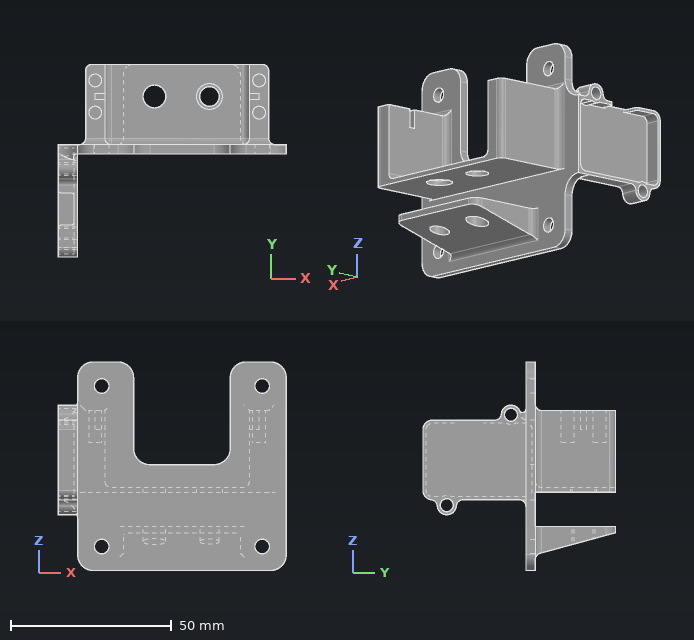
import cadquery as cq
import math


OVERALL_WIDTH = 71.0

PLATE_SIDE = 65.0
PLATE_THICKNESS = 3.0
PLATE_CORNER_RADIUS = 5.0
PLATE_HOLE_DIAMETER = 4.5
PLATE_HOLE_INSET = 7.5
SLOT_WIDTH = 29.95
SLOT_BOTTOM = 33.0

BRACKET_LEFT = 2.5
BRACKET_WIDTH = 57.0
BRACKET_DEPTH = 25.0
BRACKET_FILLET = 2.0
CRADLE_BOTTOM = 24.35
CRADLE_TOP = 49.85
CRADLE_WALL = 6.0
CRADLE_FLOOR = 1.5
CRADLE_CORNER_RADIUS = 2.0
SHELF_WIDTH = 36.35
SHELF_TOP = 13.8
SHELF_TIP_HEIGHT = 2.0
SHELF_ROOT_HEIGHT = 8.8
SHELF_CORNER_RADIUS = 3.0

PASSAGE_Y = 15.0
LEFT_PASSAGE_X = 23.9
LEFT_PASSAGE_DIAMETER = 7.0
RIGHT_PASSAGE_X = 41.05
CRADLE_PASSAGE_DIAMETER = 8.0
SHELF_PASSAGE_DIAMETER = 6.0
PILOT_DIAMETER = 4.0
PILOT_DEPTH = 10.0
PILOT_SPACING = 10.0
GROOVE_WIDTH = 2.0
GROOVE_DEPTH = 5.95

BOX_WIDTH = OVERALL_WIDTH - PLATE_SIDE
BOX_REACH = 35.0
BOX_BOTTOM = 22.0
BOX_HEIGHT = 24.85
BOX_CORNER_RADIUS = 3.0
BOX_WALL = 1.0
POCKET_DEPTH = 5.0
POCKET_CORNER_RADIUS = BOX_CORNER_RADIUS - BOX_WALL
WEB_RADIUS = 6.0
EAR_DIAMETER = 6.0
EAR_HOLE_DIAMETER = 4.0
EAR_OFFSET = 1.6
EAR_FILLET = 2.0
VALLEY_RADIUS = 1.0
UPPER_EAR_Y = -7.6
LOWER_EAR_Y = -27.55
NOTCH_CENTER_Y = -20.0
NOTCH_WIDTH = 10.0
NOTCH_CORNER_RADIUS = 1.0

SLOT_LEFT = (PLATE_SIDE - SLOT_WIDTH) / 2
BOX_TOP = BOX_BOTTOM + BOX_HEIGHT
UPPER_EAR = (UPPER_EAR_Y, BOX_TOP + EAR_OFFSET)
LOWER_EAR = (LOWER_EAR_Y, BOX_BOTTOM - EAR_OFFSET)
BRACKET_RIGHT = BRACKET_LEFT + BRACKET_WIDTH
BRACKET_CENTER_X = BRACKET_LEFT + BRACKET_WIDTH / 2


def block(x_range, y_range, z_range):
    """Box filling the given X, Y and Z ranges."""
    sizes = [high - low for low, high in (x_range, y_range, z_range)]
    corner = (x_range[0], y_range[0], z_range[0])
    return cq.Workplane("XY").box(*sizes, centered=False).translate(corner)


def vertical_hole(x, y, diameter, top, depth):
    """Cylinder that drills down from the height `top`."""
    return cq.Workplane("XY", origin=(x, y, top)).circle(diameter / 2).extrude(-depth)


def across_x(x_start):
    """Sketch plane facing +X, whose sketch axes are Y and Z."""
    return cq.Workplane("YZ", origin=(x_start, 0, 0))


def cylinder_along_x(center, radius):
    """Cylinder over the box width around a (Y, Z) point."""
    return across_x(-BOX_WIDTH).center(*center).circle(radius).extrude(BOX_WIDTH)


def prism_along_x(points):
    """Prism over the box width with the given (Y, Z) corners."""
    return across_x(-BOX_WIDTH).polyline(points).close().extrude(BOX_WIDTH)


def make_blank():
    """Plain square plate before its outline is cut."""
    return block((0, PLATE_SIDE), (-PLATE_THICKNESS, 0), (0, PLATE_SIDE))


def make_plate():
    slot = block(
        (SLOT_LEFT, SLOT_LEFT + SLOT_WIDTH),
        (-PLATE_THICKNESS, 0),
        (SLOT_BOTTOM, PLATE_SIDE),
    )
    return make_blank().cut(slot).edges("|Y").fillet(PLATE_CORNER_RADIUS)


def make_plate_holes():
    spacing = PLATE_SIDE - 2 * PLATE_HOLE_INSET
    return (
        cq.Workplane("XZ", origin=(PLATE_SIDE / 2, 0, PLATE_SIDE / 2))
        .rarray(spacing, spacing, 2, 2)
        .circle(PLATE_HOLE_DIAMETER / 2)
        .extrude(PLATE_THICKNESS)
    )


def make_cradle():
    """U-shaped cradle with floor and two walls, open towards +Y and upwards."""
    x_range = (BRACKET_LEFT, BRACKET_RIGHT)
    inner_range = (BRACKET_LEFT + CRADLE_WALL, BRACKET_RIGHT - CRADLE_WALL)
    y_range = (0, BRACKET_DEPTH)
    cradle = block(x_range, y_range, (CRADLE_BOTTOM, CRADLE_TOP))
    cradle = cradle.edges("|Z and >Y").fillet(CRADLE_CORNER_RADIUS)
    inside = block(inner_range, y_range, (CRADLE_BOTTOM + CRADLE_FLOOR, CRADLE_TOP))
    inside = inside.edges("|Y and <Z").fillet(BRACKET_FILLET)
    return cradle.cut(inside)


def make_shelf():
    """Shelf with a level top whose underside slopes up to the free end."""
    profile = [
        (0, SHELF_TOP),
        (BRACKET_DEPTH, SHELF_TOP),
        (BRACKET_DEPTH, SHELF_TOP - SHELF_TIP_HEIGHT),
        (0, SHELF_TOP - SHELF_ROOT_HEIGHT),
    ]
    left = (PLATE_SIDE - SHELF_WIDTH) / 2
    shelf = across_x(left).polyline(profile).close().extrude(SHELF_WIDTH)
    return shelf.edges("|Z and >Y").fillet(SHELF_CORNER_RADIUS)


def fillet_roots(body):
    """Round the bracket into the plate, except along the faces that bound the gap."""
    tolerance = 0.01
    roots = []
    for edge in body.edges().vals():
        box = edge.BoundingBox()
        at_plate = abs(box.ymin) < tolerance and abs(box.ymax) < tolerance
        on_bracket = box.xmin > BRACKET_LEFT - tolerance and box.xmax < BRACKET_RIGHT + tolerance
        in_gap = SHELF_TOP - tolerance < box.zmin and box.zmax < CRADLE_BOTTOM + tolerance
        if at_plate and on_bracket and not in_gap:
            roots.append(edge)
    return body.newObject(roots).fillet(BRACKET_FILLET)


def make_bracket_cuts():
    """Passages through cradle and shelf, and the blind holes and grooves in the wall tops."""
    passages = (
        (LEFT_PASSAGE_X, LEFT_PASSAGE_DIAMETER, CRADLE_TOP, CRADLE_TOP),
        (RIGHT_PASSAGE_X, CRADLE_PASSAGE_DIAMETER, CRADLE_TOP, CRADLE_TOP - SHELF_TOP),
        (RIGHT_PASSAGE_X, SHELF_PASSAGE_DIAMETER, SHELF_TOP, SHELF_TOP),
    )
    cuts = cq.Workplane("XY")
    for x, diameter, top, depth in passages:
        cuts = cuts.add(vertical_hole(x, PASSAGE_Y, diameter, top, depth))
    cuts = cuts.combine()
    for side in (-1, 1):
        wall_x = BRACKET_CENTER_X + side * (BRACKET_WIDTH - CRADLE_WALL) / 2
        inner_x = wall_x - side * CRADLE_WALL / 2
        for step in (-0.5, 0.5):
            y = PASSAGE_Y + step * PILOT_SPACING
            cuts = cuts.union(vertical_hole(wall_x, y, PILOT_DIAMETER, CRADLE_TOP, PILOT_DEPTH))
        groove = block(
            sorted((wall_x, inner_x)),
            (PASSAGE_Y - GROOVE_WIDTH / 2, PASSAGE_Y + GROOVE_WIDTH / 2),
            (CRADLE_TOP - GROOVE_DEPTH, CRADLE_TOP),
        )
        cuts = cuts.union(groove)
    return cuts


def make_box():
    box = block((-BOX_WIDTH, 0), (-BOX_REACH, 0), (BOX_BOTTOM, BOX_TOP))
    return box.edges("|X and <Y").fillet(BOX_CORNER_RADIUS)


def make_ear_cylinders(diameter):
    """Two cylinders on the ear axes, for the ears or their holes."""
    return cylinder_along_x(UPPER_EAR, diameter / 2).union(cylinder_along_x(LOWER_EAR, diameter / 2))


def make_ear_fillet(ear, outward, side):
    """Concave fill between an ear and the box edge on one side of it in Y.

    `outward` is +1 at the top of the box and -1 at its bottom.
    """
    edge_z = ear[1] - outward * EAR_OFFSET
    rise = EAR_FILLET - EAR_OFFSET
    run = math.sqrt((EAR_DIAMETER / 2 + EAR_FILLET) ** 2 - rise**2)
    center = (ear[0] + side * run, edge_z + outward * EAR_FILLET)
    fill = prism_along_x([ear, center, (center[0], edge_z), (ear[0], edge_z)])
    return fill.cut(cylinder_along_x(center, EAR_FILLET))


def make_web(edge_z, outward):
    """Web in the corner of the box and the plate's left edge, with a concave outer face.

    It reaches forward to the Y of the upper ear, for the feet to be cut from it.
    """
    tip_z = edge_z + outward * WEB_RADIUS
    web = block((-WEB_RADIUS, 0), (UPPER_EAR_Y, 0), sorted((edge_z, tip_z)))
    hollow = cq.Workplane("XZ").center(-WEB_RADIUS, tip_z).circle(WEB_RADIUS).extrude(-UPPER_EAR_Y)
    return web.cut(hollow)


def make_lower_web():
    """Lower web with a rounded foot between its front face and the box."""
    tip_z = BOX_BOTTOM - WEB_RADIUS
    center = (-PLATE_THICKNESS - BRACKET_FILLET, BOX_BOTTOM - BRACKET_FILLET)
    profile = [
        (0, BOX_BOTTOM),
        (center[0], BOX_BOTTOM),
        center,
        (-PLATE_THICKNESS, center[1]),
        (-PLATE_THICKNESS, tip_z),
        (0, tip_z),
    ]
    foot = prism_along_x(profile).cut(cylinder_along_x(center, BRACKET_FILLET))
    return make_web(BOX_BOTTOM, -1).intersect(foot)


def make_upper_web():
    """Upper web whose front face runs into the upper ear through a rounded valley."""
    tip_z = BOX_TOP + WEB_RADIUS
    valley_y = -PLATE_THICKNESS - VALLEY_RADIUS
    reach = EAR_DIAMETER / 2 + VALLEY_RADIUS
    valley = (valley_y, UPPER_EAR[1] + math.sqrt(reach**2 - (valley_y - UPPER_EAR_Y) ** 2))
    profile = [
        (0, BOX_TOP),
        (UPPER_EAR_Y, BOX_TOP),
        UPPER_EAR,
        valley,
        (-PLATE_THICKNESS, valley[1]),
        (-PLATE_THICKNESS, tip_z),
        (0, tip_z),
    ]
    foot = prism_along_x(profile).cut(cylinder_along_x(valley, VALLEY_RADIUS))
    return make_web(BOX_TOP, 1).intersect(foot)


def make_pocket():
    """Pocket open towards -X that leaves the walls and ears standing."""
    pocket = block(
        (-BOX_WIDTH, POCKET_DEPTH - BOX_WIDTH),
        (-BOX_REACH + BOX_WALL, -BOX_WALL),
        (BOX_BOTTOM + BOX_WALL, BOX_TOP - BOX_WALL),
    )
    return pocket.edges("|X").fillet(POCKET_CORNER_RADIUS).cut(make_ear_cylinders(EAR_DIAMETER))


def make_notch():
    """Notch through the top wall, with rounded inner corners and a rounded mouth."""
    radius = NOTCH_CORNER_RADIUS
    half = NOTCH_WIDTH / 2
    z_range = (BOX_TOP - BOX_WALL, BOX_TOP)
    notch = block(
        (-BOX_WIDTH, POCKET_DEPTH - BOX_WIDTH),
        (NOTCH_CENTER_Y - half, NOTCH_CENTER_Y + half),
        z_range,
    )
    notch = notch.edges("|Z and >X").fillet(radius)
    mouth_x = radius - BOX_WIDTH
    mouth = block(
        (-BOX_WIDTH, mouth_x),
        (NOTCH_CENTER_Y - half - radius, NOTCH_CENTER_Y + half + radius),
        z_range,
    )
    for side in (-1, 1):
        y = NOTCH_CENTER_Y + side * (half + radius)
        mouth = mouth.cut(vertical_hole(mouth_x, y, 2 * radius, BOX_TOP, BOX_WALL))
    return notch.union(mouth)


blank = make_blank()
body = fillet_roots(blank.union(make_cradle()).union(make_shelf()))
body = body.cut(blank.cut(make_plate()))
body = body.cut(make_plate_holes()).cut(make_bracket_cuts())

body = body.union(make_box()).union(make_ear_cylinders(EAR_DIAMETER))
for ear, outward in ((UPPER_EAR, 1), (LOWER_EAR, -1)):
    for side in (-1, 1):
        body = body.union(make_ear_fillet(ear, outward, side))
body = body.union(make_upper_web()).union(make_lower_web())
result = body.cut(make_pocket()).cut(make_notch()).cut(make_ear_cylinders(EAR_HOLE_DIAMETER))